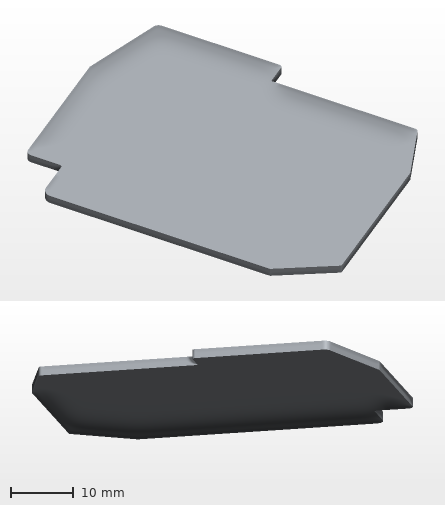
import cadquery as cq

length = 57.0
width = 44.3
thickness = 1.5

tab_start = 5.15
tab_end = 27.4
tab_drop = 4.05
shoulder_end = 53.45
slope_foot = 30.45

notch_length = 6.55
notch_width = 7.35
slope_start = 47.15
slope_rise = 5.75

foot_radius = 1.55
side_radius = 0.95
notch_radius = 0.4
tab_start_radius = 1.15
tab_end_radius = 0.55
shoulder_radius = 0.55
slope_radius = 0.3

shoulder_height = width - tab_drop

outline = [
    (notch_length, 0),
    (slope_start, 0),
    (length, slope_rise),
    (length, slope_foot),
    (shoulder_end, shoulder_height),
    (tab_end, shoulder_height),
    (tab_end, width),
    (tab_start, width),
    (0, slope_foot),
    (0, notch_width),
    (notch_length, notch_width),
]

rounded_corners = [
    ((notch_length, 0), foot_radius),
    ((0, notch_width), side_radius),
    ((notch_length, notch_width), notch_radius),
    ((tab_start, width), tab_start_radius),
    ((tab_end, width), tab_end_radius),
    ((shoulder_end, shoulder_height), shoulder_radius),
    ((length, slope_rise), slope_radius),
]


def round_corner(plate, corner, radius):
    """Fillet the vertical edge of the plate nearest to an outline corner."""
    x, y = corner
    nearest = cq.selectors.NearestToPointSelector((x, y, thickness / 2))
    return plate.edges("|Z").edges(nearest).fillet(radius)


result = cq.Workplane("XY").polyline(outline).close().extrude(thickness)
for corner, radius in rounded_corners:
    result = round_corner(result, corner, radius)